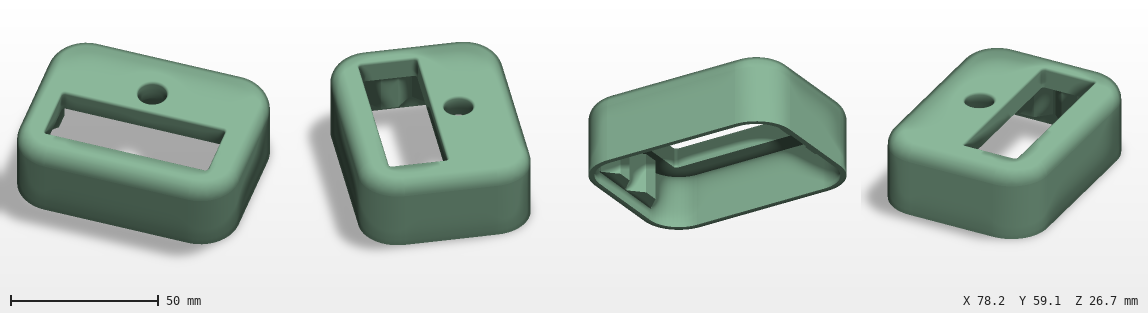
import cadquery as cq

LENGTH = 78.15
WIDTH = 59.1
HEIGHT = 26.65
CORNER_RADIUS = 13.5
TOP_FILLET = 6.0

WALL = 2.0
CAVITY_DEPTH = 19.0

EDGE_FILLET = 1.0
WINDOW_LENGTH = 58.15
WINDOW_WIDTH = 20.2
WINDOW_CENTER_Y = -9.45
WINDOW_CORNER_RADIUS = 1.0
HOLE_DIAMETER = 10.0
HOLE_CENTER_Y = 9.6

BOSS_FACE_WIDTH = 5.9
BOSS_REACH = 5.2
BOSS_CHAMFER = 4.8
BOSS_CENTER_Y = 8.2
BOSS_BOTTOM = 4.45

INNER_LENGTH = LENGTH - 2 * WALL
INNER_WIDTH = WIDTH - 2 * WALL


def rounded_block(length, width, height, radius):
    """Block standing on z = 0 with rounded vertical edges."""
    return cq.Workplane("XY").rect(length, width).extrude(height).edges("|Z").fillet(radius)


def make_shell():
    """Rounded cover, hollowed from below."""
    outer = rounded_block(LENGTH, WIDTH, HEIGHT, CORNER_RADIUS).faces(">Z").edges().fillet(TOP_FILLET)
    cavity = rounded_block(INNER_LENGTH, INNER_WIDTH, CAVITY_DEPTH, CORNER_RADIUS - WALL)
    return outer.cut(cavity)


def cut_openings(body):
    """Cut the window and the round hole, then round their top edges."""
    window = rounded_block(WINDOW_LENGTH, WINDOW_WIDTH, HEIGHT, WINDOW_CORNER_RADIUS)
    hole = cq.Workplane("XY").circle(HOLE_DIAMETER / 2).extrude(HEIGHT)
    body = body.cut(window.translate((0, WINDOW_CENTER_Y, 0)))
    body = body.cut(hole.translate((0, HOLE_CENTER_Y, 0)))
    top_face = body.faces(">Z").val()
    opening_edges = [edge for rim in top_face.innerWires() for edge in rim.Edges()]
    return body.newObject(opening_edges).fillet(EDGE_FILLET)


def make_boss(end, center_y):
    """Boss with 45 degree chamfers on a thin foot; end is +1 or -1 for the wall it grows from."""
    root_x = end * (INNER_LENGTH / 2 + WALL / 2)
    face_x = end * (INNER_LENGTH / 2 - BOSS_REACH)
    flank_x = face_x + end * BOSS_CHAMFER
    half_face = BOSS_FACE_WIDTH / 2
    half_width = half_face + BOSS_CHAMFER
    half_foot = BOSS_CENTER_Y
    outline = [
        (root_x, -half_foot),
        (flank_x, -half_foot),
        (flank_x, -half_width),
        (face_x, -half_face),
        (face_x, half_face),
        (flank_x, half_width),
        (flank_x, half_foot),
        (root_x, half_foot),
    ]
    boss = cq.Workplane("XY").polyline(outline).close().extrude(CAVITY_DEPTH - BOSS_BOTTOM)
    return boss.translate((0, center_y, BOSS_BOTTOM))


result = cut_openings(make_shell())
for end in (-1, 1):
    for side in (-1, 1):
        result = result.union(make_boss(end, side * BOSS_CENTER_Y))